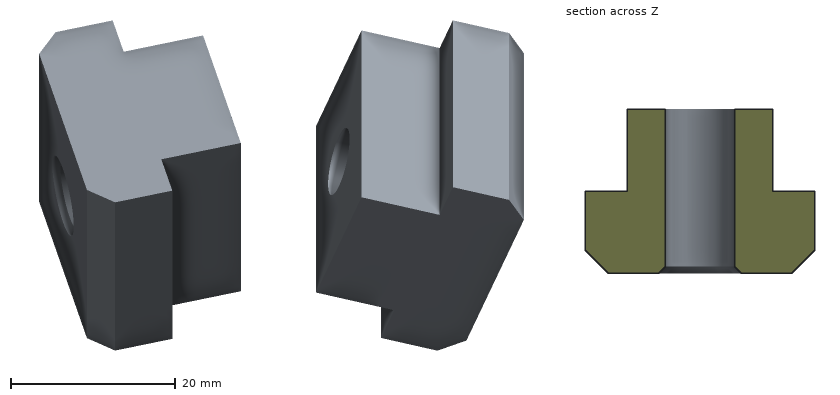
import cadquery as cq

flange_width = 28.0
neck_width = 17.7
total_depth = 20.0
flange_depth = 10.0
length = 28.0
edge_chamfer = 2.8

hole_diameter = 8.376
countersink_diameter = 10.0
countersink_angle = 90.0

front_y = -total_depth / 2
shoulder_y = front_y + flange_depth
back_y = total_depth / 2


def make_body():
    """Extrude the T profile, centred on the origin, with chamfered flange corners."""
    half_flange = flange_width / 2
    half_neck = neck_width / 2
    right_half = [
        (half_flange - edge_chamfer, front_y),
        (half_flange, front_y + edge_chamfer),
        (half_flange, shoulder_y),
        (half_neck, shoulder_y),
        (half_neck, back_y),
    ]
    left_half = [(-x, y) for x, y in reversed(right_half)]
    profile = cq.Workplane("XY").polyline(right_half + left_half).close()
    return profile.extrude(length / 2, both=True)


def drill_hole(body):
    """Drill through along Y and countersink the mouth in the flange face."""
    front_plane = cq.Plane(origin=(0, front_y, 0), xDir=(1, 0, 0), normal=(0, -1, 0))
    return (
        body.copyWorkplane(cq.Workplane(front_plane))
        .cskHole(hole_diameter, countersink_diameter, countersink_angle)
    )


result = drill_hole(make_body())